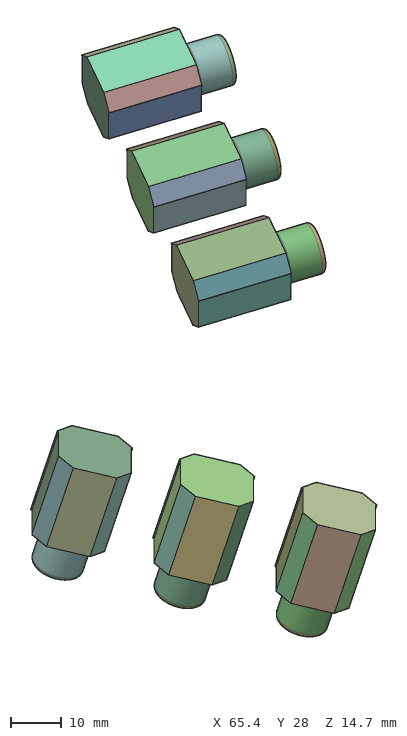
import cadquery as cq

PLUG_COUNT = 3
ROW_LENGTH = 65.4
TOTAL_WIDTH = 15.45
PLUG_PITCH = (ROW_LENGTH - TOTAL_WIDTH) / (PLUG_COUNT - 1)

HEAD_HEIGHT = 14.7
HEAD_LENGTH = 19.5
CORNER_CUT = 3.0
LIP_OVERHANG = 0.25

TOTAL_LENGTH = 28.0
STUB_LENGTH = TOTAL_LENGTH - HEAD_LENGTH
STUB_DIAMETER = 10.5
STUB_DROP = 0.4
STUB_FILLET = 1.0


def make_head():
    """Extruded octagon whose upper slopes overhang the flat sides slightly."""
    half_height = HEAD_HEIGHT / 2
    lip_x = TOTAL_WIDTH / 2
    side_x = lip_x - LIP_OVERHANG
    lip_z = half_height - CORNER_CUT
    right_side = [
        (side_x - CORNER_CUT, -half_height),
        (side_x, -half_height + CORNER_CUT),
        (side_x, lip_z - LIP_OVERHANG),
        (lip_x, lip_z),
        (lip_x - CORNER_CUT, half_height),
    ]
    left_side = [(-x, z) for x, z in reversed(right_side)]
    return cq.Workplane("XZ").polyline(right_side + left_side).close().extrude(-HEAD_LENGTH)


def make_stub():
    """Revolved stub with a rounded tip and a flared root."""
    radius = STUB_DIAMETER / 2
    root_radius = radius + STUB_FILLET
    return (
        cq.Workplane("XY")
        .lineTo(root_radius, 0)
        .radiusArc((radius, STUB_FILLET), STUB_FILLET)
        .lineTo(radius, STUB_LENGTH - STUB_FILLET)
        .radiusArc((radius - STUB_FILLET, STUB_LENGTH), -STUB_FILLET)
        .lineTo(0, STUB_LENGTH)
        .close()
        .revolve(360, (0, 0, 0), (0, 1, 0))
        .translate((0, HEAD_LENGTH, -STUB_DROP))
    )


def make_plug(center_x):
    """One plug: head and stub in a single solid."""
    return make_head().union(make_stub()).translate((center_x, 0, 0))


plugs = []
for index in range(PLUG_COUNT):
    center_x = (index - (PLUG_COUNT - 1) / 2) * PLUG_PITCH
    plugs.append(make_plug(center_x))

result = cq.Compound.makeCompound([plug.solids().val() for plug in plugs])